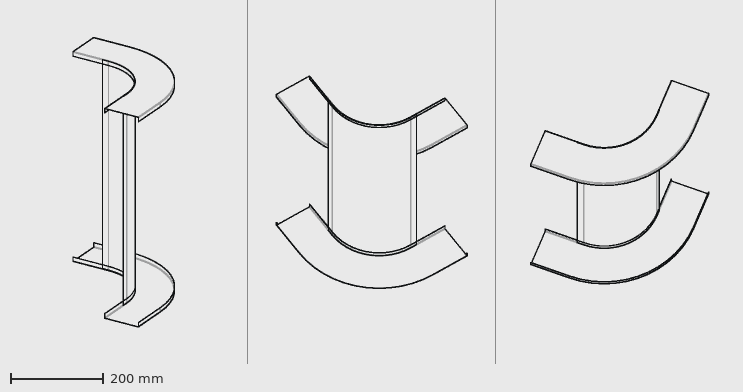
import cadquery as cq

HEIGHT = 503.0
SPAN = 299.0

TRAY_WIDTH = 87.5
LEG_LENGTH = 90.0
FLANGE_HEIGHT = 11.0
SHEET = 1.0
BEND_INSIDE = 0.5
BEND_OUTSIDE = BEND_INSIDE + SHEET
OUTER_RADIUS = SPAN - LEG_LENGTH
INNER_RADIUS = OUTER_RADIUS - TRAY_WIDTH

PANEL_LEG = 15.0
PANEL_RADIUS = INNER_RADIUS + SHEET


def elbow_strip(inner_radius, outer_radius, leg, bottom, height):
    """Quarter-turn strip about the Z axis with a straight leg at each end."""
    return (
        cq.Workplane("XY", origin=(0, 0, bottom))
        .moveTo(-leg, outer_radius)
        .lineTo(0, outer_radius)
        .radiusArc((outer_radius, 0), outer_radius)
        .lineTo(outer_radius, -leg)
        .lineTo(inner_radius, -leg)
        .lineTo(inner_radius, 0)
        .radiusArc((0, inner_radius), -inner_radius)
        .lineTo(-leg, inner_radius)
        .close()
        .extrude(height)
    )


def round_lower_edges(strip, radius):
    """Round the two long lower edges of a strip, leaving its end edges sharp."""
    return strip.faces("<Z").edges("not (<X or <Y)").fillet(radius)


def make_tray():
    """Channel standing on Z = 0 with its two edge flanges folded up."""
    blank = elbow_strip(INNER_RADIUS, OUTER_RADIUS, LEG_LENGTH, 0, FLANGE_HEIGHT)
    blank = round_lower_edges(blank, BEND_OUTSIDE)
    channel = elbow_strip(
        INNER_RADIUS + SHEET, OUTER_RADIUS - SHEET, LEG_LENGTH, SHEET, FLANGE_HEIGHT - SHEET
    )
    channel = round_lower_edges(channel, BEND_INSIDE)
    return blank.cut(channel)


def make_panel():
    """Curved upright sheet between the trays, resting where their inner folds end."""
    panel_height = HEIGHT - 2 * BEND_OUTSIDE
    return elbow_strip(PANEL_RADIUS, PANEL_RADIUS + SHEET, PANEL_LEG, BEND_OUTSIDE, panel_height)


bottom_tray = make_tray()
top_tray = make_tray().mirror("XY").translate((0, 0, HEIGHT))
panel = make_panel()

result = cq.Compound.makeCompound([bottom_tray.val(), top_tray.val(), panel.val()])